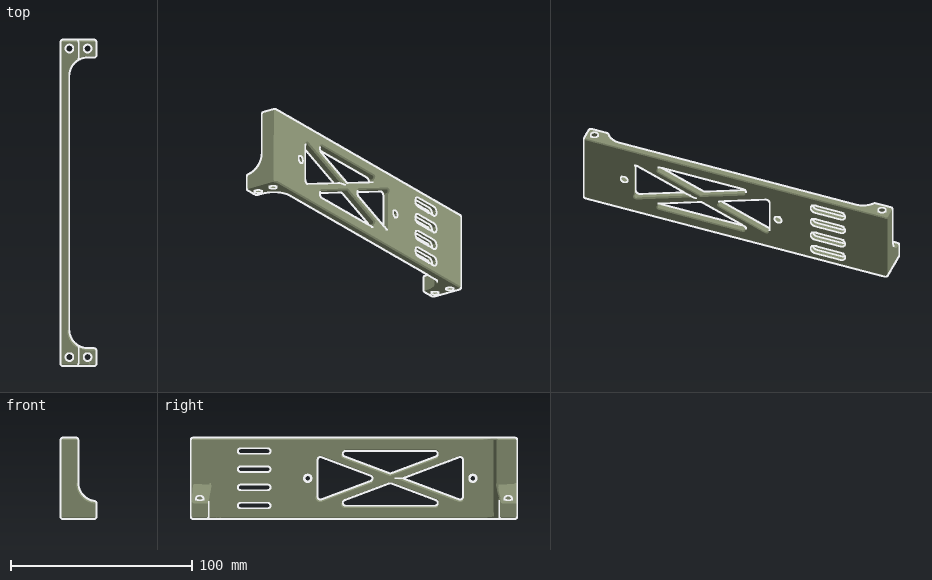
import cadquery as cq
import math

length = 180.0
height = 45.0
foot_depth = 20.0
post_depth = 10.0
foot_height = 10.0
foot_width = 10.0
wall = 5.0
blend_radius = 10.0
edge_radius = 1.5

foot_hole_diameter = 4.2
foot_hole_inset = 5.0

window_center_y = 110.0
window_length = 80.0
window_height = 30.0
bar_width = 5.0
corner_radius = 1.5

side_hole_diameter = 4.2
side_hole_taper = 0.4
side_hole_spacing = 91.0

slot_count = 4
slot_pitch = 10.0
slot_center_y = 35.0
slot_length = 20.4
slot_width = 5.4
slot_taper = 1.25
slot_straight_depth = 3.0

mid_height = height / 2
tolerance = 0.01


def make_body():
    """L-shaped bar hollowed between the feet, with all its edges rounded."""
    profile = (
        cq.Workplane("XZ")
        .lineTo(foot_depth, 0)
        .lineTo(foot_depth, foot_height)
        .radiusArc((post_depth, foot_height + blend_radius), blend_radius)
        .lineTo(post_depth, height)
        .lineTo(0, height)
        .close()
        .extrude(-length)
    )
    blend_end = foot_width + blend_radius
    recess = (
        cq.Workplane("XY")
        .moveTo(foot_depth, foot_width)
        .lineTo(wall + blend_radius, foot_width)
        .radiusArc((wall, blend_end), blend_radius)
        .lineTo(wall, length - blend_end)
        .radiusArc((wall + blend_radius, length - foot_width), blend_radius)
        .lineTo(foot_depth, length - foot_width)
        .close()
        .extrude(height)
    )
    return profile.cut(recess).edges().fillet(edge_radius)


def drill_foot_holes(body):
    """Two vertical through holes at each end: one through the post, one through the toe of the foot."""
    hole_positions = [
        (x, y)
        for x in (foot_hole_inset, foot_depth - foot_hole_inset)
        for y in (foot_hole_inset, length - foot_hole_inset)
    ]
    drills = cq.Workplane("XY").pushPoints(hole_positions).circle(foot_hole_diameter / 2).extrude(height)
    return body.cut(drills)


def wall_plane(center_y, center_z=mid_height):
    """Sketch plane on the outer face: local x runs along Y and local y along Z."""
    return cq.Workplane("YZ", origin=(0, center_y, center_z))


def is_rim_edge(edge, opening):
    """True for an edge that bounds the given opening on either face of the wall."""
    edge_box = edge.BoundingBox()
    opening_box = opening.val().BoundingBox()
    lies_on_face = edge_box.xlen < tolerance
    inside_y = edge_box.ymin > opening_box.ymin - tolerance and edge_box.ymax < opening_box.ymax + tolerance
    inside_z = edge_box.zmin > opening_box.zmin - tolerance and edge_box.zmax < opening_box.zmax + tolerance
    return lies_on_face and inside_y and inside_z


def cut_rounded_opening(body, opening):
    """Cut an opening through the wall and round its rims on both faces."""
    cut_body = body.cut(opening)
    rims = [edge for edge in cut_body.edges().vals() if is_rim_edge(edge, opening)]
    return cut_body.newObject(rims).fillet(edge_radius)


def window_openings():
    """Four triangles left between the window frame and its diagonal bars."""
    half_length = window_length / 2
    half_height = window_height / 2
    bar_angle = math.atan2(window_height, window_length)
    tip_y = bar_width / 2 / math.sin(bar_angle)
    tip_z = bar_width / 2 / math.cos(bar_angle)
    side_z = (half_length - tip_y) * math.tan(bar_angle)
    end_y = (half_height - tip_z) / math.tan(bar_angle)

    def triangle(*corners):
        return wall_plane(window_center_y).polyline(corners).close().extrude(wall)

    far_side = triangle((tip_y, 0), (half_length, side_z), (half_length, -side_z))
    near_side = triangle((-tip_y, 0), (-half_length, side_z), (-half_length, -side_z))
    upper = triangle((0, tip_z), (end_y, half_height), (-end_y, half_height))
    lower = triangle((0, -tip_z), (end_y, -half_height), (-end_y, -half_height))
    return [
        far_side.edges("|X and >Y").fillet(corner_radius),
        near_side.edges("|X").fillet(corner_radius),
        upper.edges("|X").fillet(corner_radius),
        lower.edges("|X").fillet(corner_radius),
    ]


def slot_openings():
    """Column of horizontal slots centered on the height of the wall."""
    lowest_z = mid_height - slot_pitch * (slot_count - 1) / 2
    narrow_length = slot_length - 2 * slot_taper
    narrow_width = slot_width - 2 * slot_taper

    def slot(center_z):
        plane = wall_plane(slot_center_y, center_z)
        wide_depth = slot_straight_depth + slot_taper
        wide_part = plane.slot2D(slot_length, slot_width).extrude(wide_depth).faces(">X").chamfer(slot_taper)
        narrow_part = plane.slot2D(narrow_length, narrow_width).extrude(wall)
        return wide_part.union(narrow_part)

    return [slot(lowest_z + index * slot_pitch) for index in range(slot_count)]


def side_hole_openings():
    """One small hole beyond each end of the window."""
    return [
        wall_plane(window_center_y + offset)
        .circle(side_hole_diameter / 2)
        .extrude(wall)
        .faces(">X")
        .chamfer(side_hole_taper)
        for offset in (-side_hole_spacing / 2, side_hole_spacing / 2)
    ]


result = drill_foot_holes(make_body())
for window_opening in window_openings():
    result = cut_rounded_opening(result, window_opening)
for tapered_opening in slot_openings() + side_hole_openings():
    result = result.cut(tapered_opening)